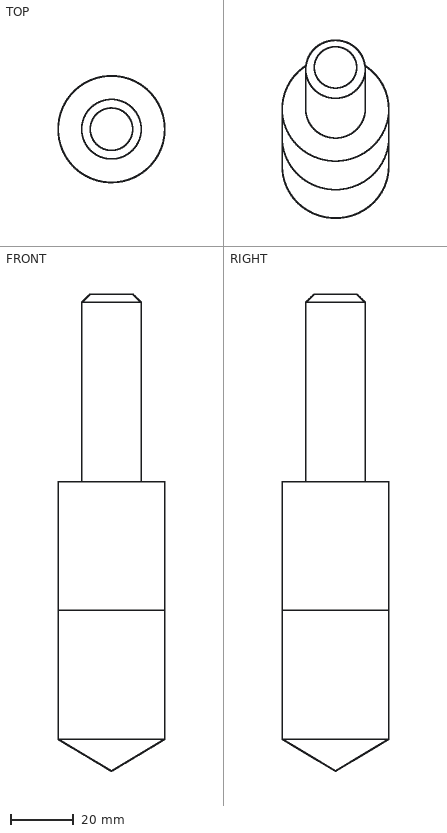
import cadquery as cq

total_length = 152.4
body_diameter = 34.1
shank_diameter = 19.0
tip_height = 10.2
segment_length = 41.1
shank_chamfer_height = 2.6
shank_end_diameter = 13.5

body_radius = body_diameter / 2
shank_radius = shank_diameter / 2
shank_end_radius = shank_end_diameter / 2
joint_z = tip_height + segment_length
shoulder_z = joint_z + segment_length
chamfer_z = total_length - shank_chamfer_height


def make_tip_segment():
    """Lower cylinder ending in a conical point at the origin."""
    return (
        cq.Workplane("XZ")
        .moveTo(0, 0)
        .lineTo(body_radius, tip_height)
        .lineTo(body_radius, joint_z)
        .lineTo(0, joint_z)
        .close()
        .revolve(360, (0, 0), (0, 1))
    )


def make_shank_segment():
    """Upper cylinder with a narrower shank chamfered at its free end."""
    return (
        cq.Workplane("XZ")
        .moveTo(0, joint_z)
        .lineTo(body_radius, joint_z)
        .lineTo(body_radius, shoulder_z)
        .lineTo(shank_radius, shoulder_z)
        .lineTo(shank_radius, chamfer_z)
        .lineTo(shank_end_radius, total_length)
        .lineTo(0, total_length)
        .close()
        .revolve(360, (0, 0), (0, 1))
    )


tip_segment = make_tip_segment()
shank_segment = make_shank_segment()
result = cq.Compound.makeCompound([tip_segment.val(), shank_segment.val()])